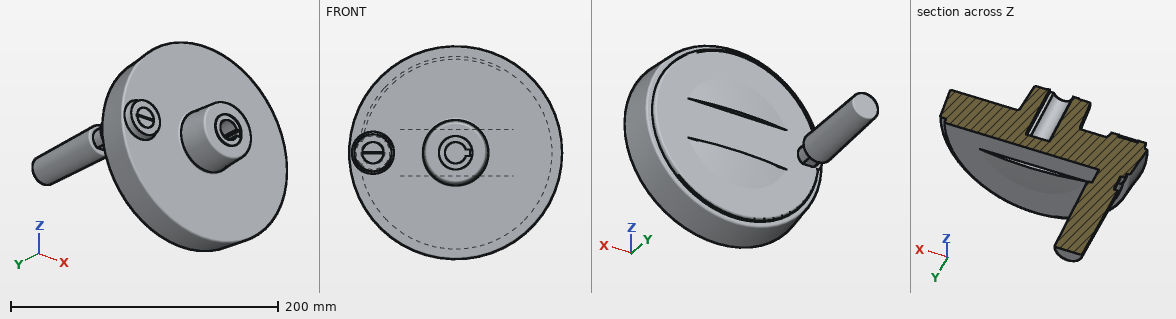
import cadquery as cq
import math


wheel_radius = 79.8
rear_shoulder_radius = 77.1
rear_face_radius = 75.7
front_rounding = 1.6
rear_rounding = 1.8
shoulder_y = 26.7
disc_rear_y = 28.4

ring_radius = 72.1
ring_rear_y = 32.5
ring_rounding = 2.0
dome_radius = 46.3
dome_apex_y = 36.4
dome_slot_width = 34.8

hub_tip_y = -27.3
hub_tip_radius = 22.7
hub_base_radius = 24.6
hub_rounding = 1.6
bush_diameter = 25.0
bush_face_y = -28.0
bore_diameter = 16.0
bore_depth = 47.9
keyway_width = 5.1
keyway_reach = 10.7

pivot_x = -62.0
button_face_y = -5.6
button_face_radius = 13.9
button_base_radius = 15.8
button_waist_y = -2.5
button_waist_radius = 14.5
screw_diameter = 16.0
screw_recess_depth = 0.2
screw_slot_width = 1.0
screw_slot_depth = 1.6

block_diameter = 25.0
block_width = 16.6
stem_diameter = 17.9
stem_flat_width = 15.2
grip_start_y = 46.0
grip_end_y = 116.0
grip_start_diameter = 25.0
grip_end_diameter = 22.5
grip_rounding = 1.1


def cylinder(diameter, start_y, end_y, x=0):
    """Solid cylinder along Y between two Y positions."""
    base = cq.Workplane("XZ", origin=(x, start_y, 0))
    return base.circle(diameter / 2).extrude(start_y - end_y)


def revolve_about_y(profile, x=0):
    """Turn an XY half profile about Y, then move it to the given X."""
    return profile.close().revolve(360, (0, 0, 0), (0, 1, 0)).translate((x, 0, 0))


def make_disc():
    arc_inset = front_rounding * (1 - math.sqrt(0.5))
    profile = (
        cq.Workplane("XY")
        .lineTo(wheel_radius - front_rounding, 0)
        .threePointArc((wheel_radius - arc_inset, arc_inset), (wheel_radius, front_rounding))
        .lineTo(rear_shoulder_radius, shoulder_y)
        .radiusArc((rear_face_radius, disc_rear_y), -rear_rounding)
        .lineTo(0, disc_rear_y)
    )
    ring = cylinder(2 * ring_radius, disc_rear_y, ring_rear_y).faces(">Y").edges().fillet(ring_rounding)
    return revolve_about_y(profile).union(ring)


def make_dome():
    rise = dome_apex_y - ring_rear_y
    sphere_radius = (dome_radius**2 + rise**2) / (2 * rise)
    sphere = cq.Workplane("XY").sphere(sphere_radius).translate((0, dome_apex_y - sphere_radius, 0))
    dome = cylinder(2 * dome_radius, disc_rear_y, dome_apex_y).intersect(sphere)
    slot = cq.Workplane("XY").box(2 * wheel_radius, rise, dome_slot_width)
    return dome.cut(slot.translate((0, ring_rear_y + rise / 2, 0)))


def make_hub():
    profile = (
        cq.Workplane("XY")
        .moveTo(0, hub_tip_y)
        .lineTo(hub_tip_radius, hub_tip_y)
        .lineTo(hub_base_radius, 0)
        .lineTo(0, 0)
    )
    hub = revolve_about_y(profile).faces("<Y").edges().fillet(hub_rounding)
    return hub.union(cylinder(bush_diameter, bush_face_y, 0))


def make_hub_base_fillet():
    profile = (
        cq.Workplane("XY")
        .lineTo(hub_base_radius + hub_rounding, 0)
        .radiusArc((hub_base_radius, -hub_rounding), -hub_rounding)
        .lineTo(0, -hub_rounding)
    )
    return revolve_about_y(profile)


def make_bore():
    bore_end_y = bush_face_y + bore_depth
    keyway = cq.Workplane("XY").box(keyway_reach, bore_depth, keyway_width)
    keyway = keyway.translate((keyway_reach / 2, bush_face_y + bore_depth / 2, 0))
    return cylinder(bore_diameter, bush_face_y, bore_end_y).union(keyway)


def make_button():
    profile = (
        cq.Workplane("XY")
        .lineTo(button_base_radius, 0)
        .threePointArc((button_waist_radius, button_waist_y), (button_face_radius, button_face_y))
        .lineTo(0, button_face_y)
    )
    slot = cq.Workplane("XY").box(screw_diameter, screw_slot_depth, screw_slot_width)
    slot = slot.translate((pivot_x, button_face_y + screw_slot_depth / 2, 0))
    recess = cylinder(screw_diameter, button_face_y, button_face_y + screw_recess_depth, pivot_x)
    return revolve_about_y(profile, pivot_x).cut(slot).cut(recess)


def make_handle():
    block = cylinder(block_diameter, disc_rear_y, ring_rear_y, pivot_x)
    block_sides = cq.Workplane("XY").box(block_diameter, 2 * ring_rear_y, block_width)
    block = block.intersect(block_sides.translate((pivot_x, ring_rear_y, 0)))

    stem = cylinder(stem_diameter, disc_rear_y, grip_start_y, pivot_x)
    stem_sides = cq.Workplane("XY").box(stem_diameter, 2 * grip_start_y, stem_flat_width)
    stem = stem.intersect(stem_sides.translate((pivot_x, grip_start_y, 0)))

    grip_profile = (
        cq.Workplane("XY")
        .moveTo(0, grip_start_y)
        .lineTo(grip_start_diameter / 2, grip_start_y)
        .lineTo(grip_end_diameter / 2, grip_end_y)
        .lineTo(0, grip_end_y)
    )
    grip = revolve_about_y(grip_profile, pivot_x).faces("<Y or >Y").edges().fillet(grip_rounding)
    return block.union(stem).union(grip)


result = make_disc().union(make_dome()).union(make_hub()).union(make_hub_base_fillet())
result = result.cut(make_bore()).union(make_button()).union(make_handle())